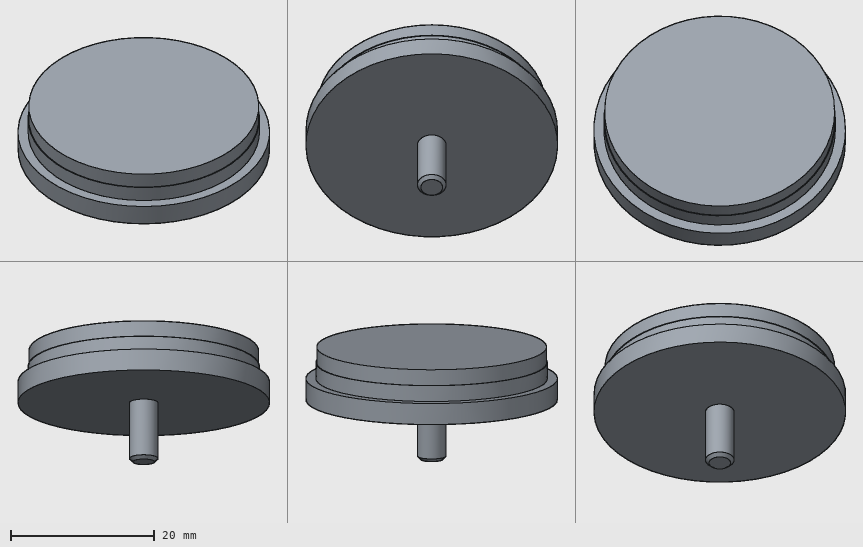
import cadquery as cq

flange_diameter = 35.0
flange_height = 3.0
lower_disc_diameter = 32.2
lower_disc_height = 2.25
upper_disc_diameter = 32.0
upper_disc_height = 2.25
pin_diameter = 4.0
pin_length = 8.5
pin_chamfer = 0.5

head = (
    cq.Workplane("XY")
    .circle(flange_diameter / 2)
    .extrude(flange_height)
    .faces(">Z")
    .workplane()
    .circle(lower_disc_diameter / 2)
    .extrude(lower_disc_height)
    .faces(">Z")
    .workplane()
    .circle(upper_disc_diameter / 2)
    .extrude(upper_disc_height)
)

pin = (
    cq.Workplane("XY")
    .circle(pin_diameter / 2)
    .extrude(-pin_length)
    .faces("<Z")
    .chamfer(pin_chamfer)
)

result = head.union(pin)